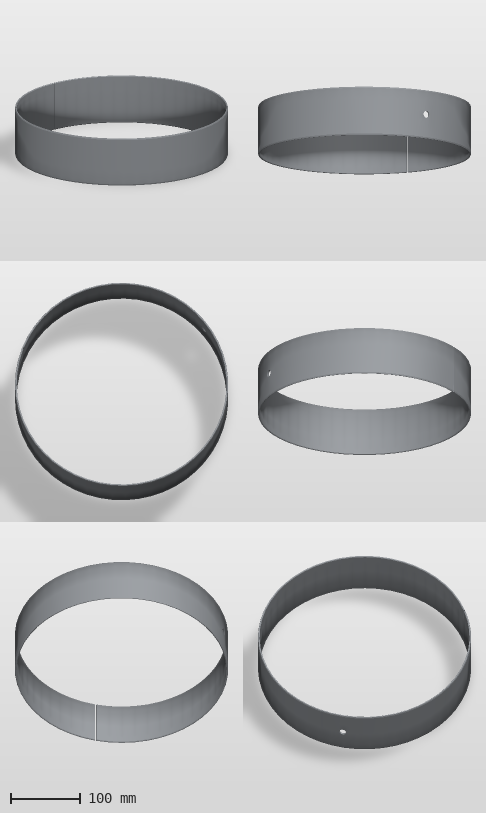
import cadquery as cq
import math

outer_diameter = 305.0
wall = 2.5
height = 70.0
outer_radius = outer_diameter / 2
inner_radius = outer_radius - wall

outer_bevel_height = 1.8
outer_bevel_depth = 0.65
inner_bevel = 0.8

slit_width = 2.0

hole_diameter = 10.0
hole_azimuth = 59.0
hole_height = height / 2


def ring():
    """Thin band whose inner and outer rims are bevelled at both ends."""
    outer_rim = outer_radius - outer_bevel_depth
    inner_rim = inner_radius + inner_bevel
    profile = [
        (inner_rim, 0),
        (outer_rim, 0),
        (outer_radius, outer_bevel_height),
        (outer_radius, height - outer_bevel_height),
        (outer_rim, height),
        (inner_rim, height),
        (inner_radius, height - inner_bevel),
        (inner_radius, inner_bevel),
    ]
    band = cq.Workplane("XZ").polyline(profile).close().revolve(360, (0, 0, 0), (0, 1, 0))
    return band.rotate((0, 0, 0), (0, 0, 1), 180)


def slit_cutter():
    """Block on the +Y side of the XZ plane that reaches from the axis out past the -X wall."""
    block = cq.Workplane("XY").box(outer_diameter, slit_width, height, centered=(True, False, False))
    return block.translate((-outer_radius, 0, 0))


def hole_cutter():
    """Cylinder from the axis out past the wall, along the hole's azimuth."""
    angle = math.radians(hole_azimuth)
    outward = cq.Vector(math.cos(angle), math.sin(angle), 0)
    start = cq.Vector(0, 0, hole_height)
    return cq.Solid.makeCylinder(hole_diameter / 2, outer_diameter, start, outward)


result = ring().cut(slit_cutter()).cut(hole_cutter())